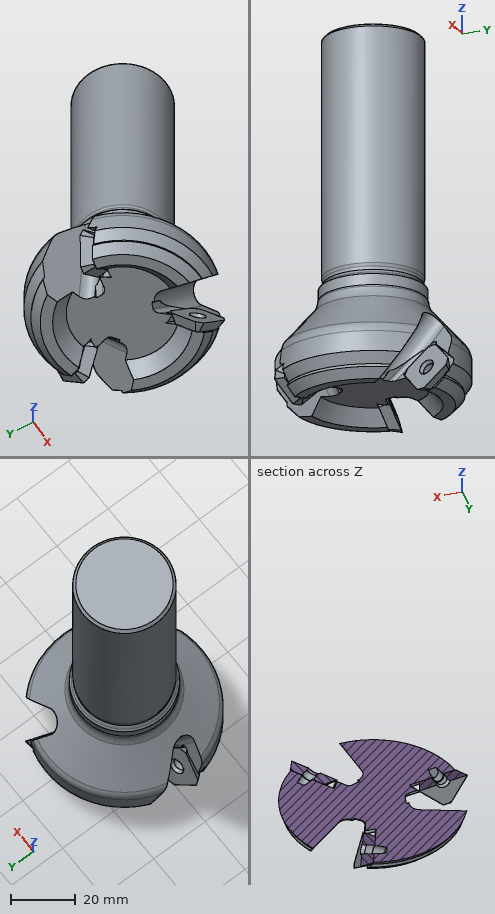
import cadquery as cq
import math


total_height = 120.0
shank_radius = 31.9 / 2
shank_bottom = 42.0
shank_chamfer = 1.0
groove_radius = 31.3 / 2
groove_top = 40.9
groove_bottom = 39.8
collar_radius = 34.0 / 2
collar_top = 38.0
collar_bottom = 34.5
collar_chamfer_width = 0.6
collar_chamfer_height = 0.7
neck_radius = 34.5 / 2
neck_bottom = 33.8
neck_bulge = 0.2

shoulder_top_radius = 18.4
shoulder_top = 30.4
shoulder_bottom_radius = 29.3
shoulder_bottom = 18.1
shoulder_bulge = 0.4
head_radius = 30.5
rim_top = 14.9
rim_bottom = 8.4
lip_radius = 28.3
lip_overhang = 0.2
lip_top = 4.9
lip_bottom = 4.0
face_radius = 25.5
face_height = 1.0

recess_rim_radius = 21.6
recess_root_radius = 17.4
recess_top = 6.0

insert_count = 3
insert_side = 13.7
insert_corner = 1.9
insert_thickness = 3.6
insert_relief = 28.0
lead_angle = 42.3
rake_angle = 27.4
insert_center_x = 9.4
insert_center_y = 21.2
countersink_diameter = 5.3
countersink_depth = 1.2
insert_hole_diameter = 4.1
screw_hole_diameter = 3.5
screw_hole_depth = 3.6

flute_turn = 12.0
flute_radius = 4.2
flute_root = 6.1
flute_drop = 0.5
flute_wedge_angle = 29.0
flute_reach = 48.0
flute_half_length = 48.0

pocket_flare = 1.2
pocket_clearance = 1.8
pocket_fillet = 1.2
pocket_rise = 3.6
pocket_length = 19.2
corner_relief_radius = 1.1
corner_relief_inset = 0.5

lead = math.radians(lead_angle)
rake = math.radians(rake_angle)
insert_half = insert_side / 2
insert_flat = insert_half - insert_corner
insert_center_z = insert_half * math.sin(lead) + insert_flat * math.cos(rake) * math.cos(lead)

edge_direction = cq.Vector(0, math.cos(lead), math.sin(lead))
inward_direction = cq.Vector(
    -math.sin(rake),
    -math.cos(rake) * math.sin(lead),
    math.cos(rake) * math.cos(lead),
)
cutting_face = cq.Plane(
    origin=(insert_center_x, insert_center_y, insert_center_z),
    xDir=edge_direction,
    normal=edge_direction.cross(inward_direction),
)


def around_axis(shape):
    """Copies of a shape, spaced evenly about Z."""
    step = 360 / insert_count
    return [shape.rotate((0, 0, 0), (0, 0, 1), step * index) for index in range(insert_count)]


def make_insert():
    """Square insert with cut corners, relieved flanks and a countersunk screw hole."""
    outline = [
        (insert_half, insert_flat),
        (insert_flat, insert_half),
        (-insert_flat, insert_half),
        (-insert_half, insert_flat),
        (-insert_half, -insert_flat),
        (-insert_flat, -insert_half),
        (insert_flat, -insert_half),
        (insert_half, -insert_flat),
    ]
    blank = (
        cq.Workplane(cutting_face)
        .polyline(outline).close()
        .extrude(-insert_thickness, taper=insert_relief)
    )
    hole = cq.Workplane(cutting_face).circle(insert_hole_diameter / 2).extrude(-insert_thickness)
    countersink = (
        cq.Workplane(cutting_face).circle(countersink_diameter / 2)
        .workplane(offset=-countersink_depth).circle(insert_hole_diameter / 2)
        .loft()
    )
    return blank.cut(hole).cut(countersink)


def make_turned_blank():
    """Solid of revolution for the shank, neck and head."""
    shoulder_middle = (
        (head_radius + shoulder_bottom_radius) / 2 + shoulder_bulge,
        (rim_top + shoulder_bottom) / 2,
    )
    neck_middle = (
        (shoulder_top_radius + neck_radius) / 2 - neck_bulge,
        (shoulder_top + neck_bottom) / 2,
    )
    profile = (
        cq.Workplane("XZ")
        .moveTo(0, face_height)
        .lineTo(face_radius, face_height)
        .lineTo(lip_radius, lip_bottom)
        .lineTo(lip_radius - lip_overhang, lip_top)
        .lineTo(head_radius, rim_bottom)
        .lineTo(head_radius, rim_top)
        .threePointArc(shoulder_middle, (shoulder_bottom_radius, shoulder_bottom))
        .lineTo(shoulder_top_radius, shoulder_top)
        .threePointArc(neck_middle, (neck_radius, neck_bottom))
        .lineTo(collar_radius, collar_bottom)
        .lineTo(collar_radius, collar_top)
        .lineTo(collar_radius - collar_chamfer_width, collar_top + collar_chamfer_height)
        .lineTo(groove_radius, groove_bottom)
        .lineTo(groove_radius, groove_top)
        .lineTo(shank_radius, shank_bottom)
        .lineTo(shank_radius, total_height - shank_chamfer)
        .lineTo(shank_radius - shank_chamfer, total_height)
        .lineTo(0, total_height)
        .close()
    )
    return profile.revolve(360, (0, 0, 0), (0, 1, 0))


def make_recess():
    """Conical recess cut up into the end face."""
    return (
        cq.Workplane("XY").workplane(offset=face_height).circle(recess_rim_radius)
        .workplane(offset=recess_top - face_height).circle(recess_root_radius)
        .loft()
    )


def make_flute():
    """Wedge-shaped channel with a round root, its floor parallel to the cutting face."""
    turn = math.radians(flute_turn)
    wedge = math.radians(flute_wedge_angle)
    along = edge_direction * math.cos(turn) + inward_direction * math.sin(turn)
    section = cq.Plane(
        origin=cutting_face.origin - cutting_face.zDir * flute_drop,
        xDir=cutting_face.zDir,
        normal=-along,
    )

    def on_root(angle):
        """Point of the root arc, with angle 0 on the flute floor."""
        return (
            flute_radius * (1 - math.cos(angle)),
            flute_root + flute_radius * math.sin(angle),
        )

    arc_angle = math.pi - wedge
    wall_start = on_root(arc_angle)
    wall_end = (
        wall_start[0] + flute_reach * math.sin(wedge),
        wall_start[1] - flute_reach * math.cos(wedge),
    )
    return (
        cq.Workplane(section)
        .moveTo(0, flute_root - flute_reach)
        .lineTo(0, flute_root)
        .threePointArc(on_root(arc_angle / 2), wall_start)
        .lineTo(*wall_end)
        .close()
        .extrude(flute_half_length, both=True)
    )


def make_pocket_side():
    """Clearance beside the insert, where the flute root would cover its inner edge."""
    wall = insert_half + pocket_clearance
    floor = -flute_drop
    fillet_middle = pocket_fillet * (1 - math.sqrt(0.5))
    section = cq.Plane(
        origin=cutting_face.origin + edge_direction * (insert_half - pocket_length),
        xDir=inward_direction,
        normal=edge_direction,
    )
    return (
        cq.Workplane(section)
        .moveTo(-insert_half, floor)
        .lineTo(wall - pocket_fillet, floor)
        .threePointArc((wall - fillet_middle, floor + fillet_middle), (wall, floor + pocket_fillet))
        .lineTo(wall, floor + pocket_rise)
        .lineTo(-insert_half, floor + pocket_rise)
        .close()
        .extrude(pocket_length)
    )


def make_pocket():
    """Seat under the insert, with its corner relief, screw hole and side clearance."""
    seat_outline = [
        (-insert_half, -insert_half),
        (insert_half + pocket_flare, -insert_half),
        (insert_half, insert_half),
        (-insert_half, insert_half),
    ]
    seat = cq.Workplane(cutting_face).polyline(seat_outline).close().extrude(-insert_thickness)
    relief_center = insert_half - corner_relief_inset
    corner_relief = (
        cq.Workplane(cutting_face).center(relief_center, relief_center)
        .circle(corner_relief_radius).extrude(-insert_thickness)
    )
    screw_hole = (
        cq.Workplane(cutting_face).circle(screw_hole_diameter / 2)
        .extrude(-insert_thickness - screw_hole_depth)
    )
    return seat.union(corner_relief).union(screw_hole).union(make_pocket_side())


def make_body():
    """Cutter body with its recess, flutes and insert pockets."""
    cutter_body = make_turned_blank().cut(make_recess())
    for cutter in around_axis(make_flute()) + around_axis(make_pocket()):
        cutter_body = cutter_body.cut(cutter)
    return cutter_body


body = make_body()
inserts = around_axis(make_insert())

result = cq.Compound.makeCompound([body.val(), *[insert.val() for insert in inserts]])